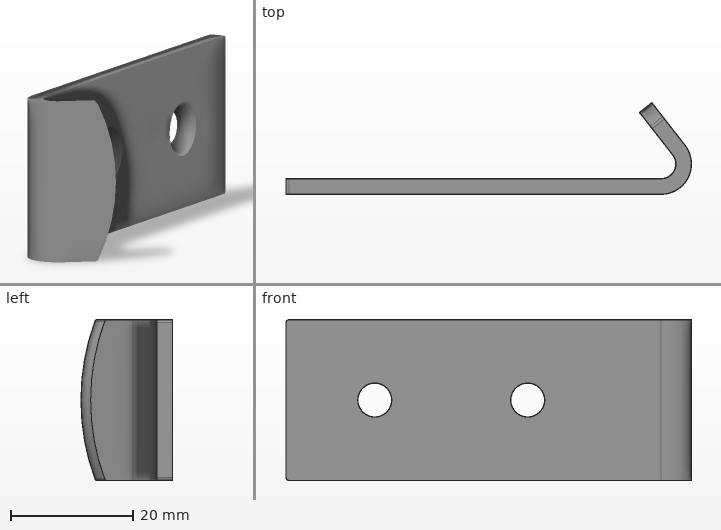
import cadquery as cq
import math

length = 66.25
height = 15.0
width = 26.3

thickness = 2.6
bend_radius = 5.0
bend_angle = 128.0
corner_radius = 0.5

crown_rise = 3.05

hole_diameter = 5.5
first_hole_x = 14.5
hole_spacing = 25.0
hole_land = 0.85
countersink_angle = 90.0

half_width = width / 2
bend_x = length - bend_radius
countersink_spread = (thickness - hole_land) * math.tan(math.radians(countersink_angle / 2))
countersink_diameter = hole_diameter + 2 * countersink_spread
inner_radius = bend_radius - thickness

turn = math.radians(bend_angle)
radial_x, radial_y = math.sin(turn), -math.cos(turn)
along_x, along_y = math.cos(turn), math.sin(turn)
lip_x = bend_x + bend_radius * radial_x
lip_y = bend_radius + bend_radius * radial_y
lip_length = (height - lip_y) / along_y


def bend_point(radius, angle):
    """Point on the bend, with the angle measured from the end of the plate."""
    return (bend_x + radius * math.sin(angle), bend_radius - radius * math.cos(angle))


def make_plate():
    plate = cq.Workplane("XY").box(bend_x, thickness, width, centered=(False, False, True))
    plate = plate.edges("<X and |Y").fillet(corner_radius)
    inner_face = cq.Plane(origin=(0, thickness, 0), xDir=(1, 0, 0), normal=(0, 1, 0))
    hole_centres = [(first_hole_x + i * hole_spacing, 0) for i in range(2)]
    return (
        cq.Workplane(inner_face)
        .add(plate)
        .pushPoints(hole_centres)
        .cskHole(hole_diameter, countersink_diameter, countersink_angle)
    )


def make_bend():
    return (
        cq.Workplane("XY", origin=(0, 0, -half_width))
        .moveTo(*bend_point(bend_radius, 0))
        .threePointArc(bend_point(bend_radius, turn / 2), bend_point(bend_radius, turn))
        .lineTo(*bend_point(inner_radius, turn))
        .threePointArc(bend_point(inner_radius, turn / 2), bend_point(inner_radius, 0))
        .close()
        .extrude(width)
    )


def make_lip():
    """Flat lip with a crowned tip, drawn on its outer face and thickened inwards."""
    outer_face = cq.Plane(
        origin=(lip_x, lip_y, 0),
        xDir=(along_x, along_y, 0),
        normal=(radial_x, radial_y, 0),
    )
    side_length = lip_length - crown_rise
    lip = (
        cq.Workplane(outer_face)
        .moveTo(0, -half_width)
        .lineTo(side_length, -half_width)
        .threePointArc((lip_length, 0), (side_length, half_width))
        .lineTo(0, half_width)
        .close()
        .extrude(-thickness)
    )
    tip_corners = cq.selectors.ParallelDirSelector(cq.Vector(radial_x, radial_y, 0))
    return lip.edges(tip_corners).edges("<X").fillet(corner_radius)


result = make_plate().union(make_bend()).union(make_lip())